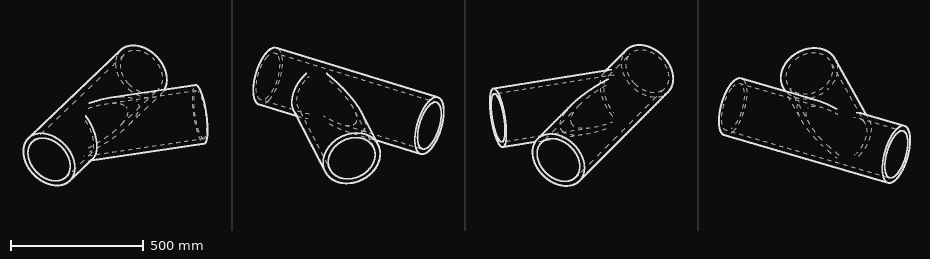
import cadquery as cq

outer_diameter = 225.0
inner_diameter = 184.0

run_length = 700.0
junction_from_end = 214.0

branch_length = 480.0
branch_direction = (1, 1, 0)


def run_cylinder(diameter):
    """Solid cylinder along the full length of the main run."""
    start = cq.Vector(0, -junction_from_end, 0)
    return cq.Workplane(cq.Solid.makeCylinder(diameter / 2, run_length, start, cq.Vector(0, 1, 0)))


def branch_cylinder(diameter):
    """Solid cylinder from the junction to the open end of the branch."""
    start = cq.Vector(0, 0, 0)
    direction = cq.Vector(*branch_direction)
    return cq.Workplane(cq.Solid.makeCylinder(diameter / 2, branch_length, start, direction))


body = run_cylinder(outer_diameter).union(branch_cylinder(outer_diameter))
bores = run_cylinder(inner_diameter).union(branch_cylinder(inner_diameter))
result = body.cut(bores)